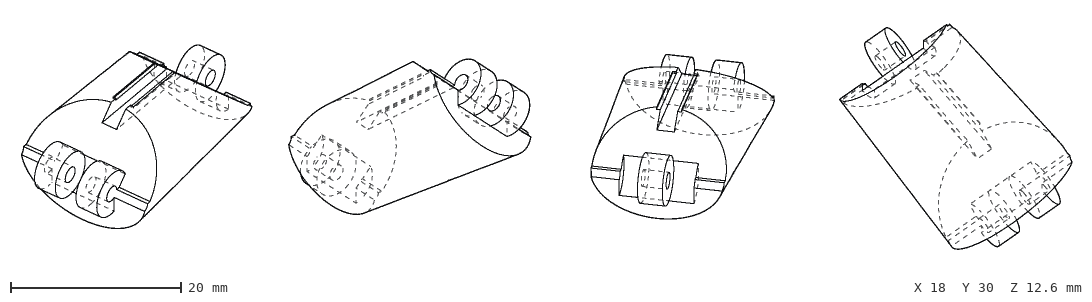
import cadquery as cq

body_length = 23.0
front_half_width = 9.0
front_half_height = 6.5
taper = 1.0
end_slope_start = 10.5

hinge_offset = 12.0
knuckle_radius = 3.0
pin_radius = 1.0
knuckle_width = 3.0

groove_width = 2.1
groove_depth = 2.0
recess_width = 3.0
recess_depth = 0.3
recess_front = -3.4

half_length = body_length / 2
back_half_width = front_half_width - taper
back_half_height = front_half_height - taper
clear = 2 * front_half_width


def crest_height(y):
    """Height of the tapering top line of the body at position y."""
    return back_half_height + taper * (half_length - y) / body_length


def cylinder_x(radius, y, x_center, width):
    """Cylinder along X with its axis at Z = 0."""
    return (
        cq.Workplane("YZ", origin=(x_center - width / 2, y, 0))
        .circle(radius)
        .extrude(width)
    )


def make_body():
    """Tapered elliptical bar with its upper half sloped at both ends."""
    bar = (
        cq.Workplane("XZ", origin=(0, -half_length, 0))
        .ellipse(front_half_width, front_half_height)
        .workplane(offset=-body_length)
        .ellipse(back_half_width, back_half_height)
        .loft(ruled=True)
    )
    for side in (-1, 1):
        wedge = (
            cq.Workplane("YZ")
            .moveTo(side * end_slope_start, 0)
            .lineTo(side * (end_slope_start + clear), 0)
            .lineTo(side * (end_slope_start + clear), clear)
            .lineTo(side * (end_slope_start - clear), clear)
            .close()
            .extrude(clear, both=True)
        )
        bar = bar.cut(wedge)
    return bar


def channel_cutter(width, depth, y_front, y_back):
    """Cutter whose floor runs parallel to the crest, at a given depth below it."""
    return (
        cq.Workplane("YZ")
        .moveTo(y_front, crest_height(y_front) - depth)
        .lineTo(y_back, crest_height(y_back) - depth)
        .lineTo(y_back, clear)
        .lineTo(y_front, clear)
        .close()
        .extrude(width / 2, both=True)
    )


def cut_top_groove(part):
    groove = channel_cutter(groove_width, groove_depth, -half_length, half_length)
    recess = channel_cutter(recess_width, recess_depth, recess_front, half_length)
    return part.cut(groove).cut(recess)


def add_hinge(part, y, knuckle_centers, gap_centers):
    """Add knuckles, clear the gaps for the mating knuckles and cut the pin hole."""
    for x in gap_centers:
        part = part.cut(cylinder_x(knuckle_radius, y, x, knuckle_width))
    for x in knuckle_centers:
        part = part.union(cylinder_x(knuckle_radius, y, x, knuckle_width))
    return part.cut(cylinder_x(pin_radius, y, 0, 2 * clear))


outer_positions = (-knuckle_width, knuckle_width)
middle_position = (0,)

result = make_body()
result = cut_top_groove(result)
result = add_hinge(result, -hinge_offset, outer_positions, middle_position)
result = add_hinge(result, hinge_offset, middle_position, outer_positions)